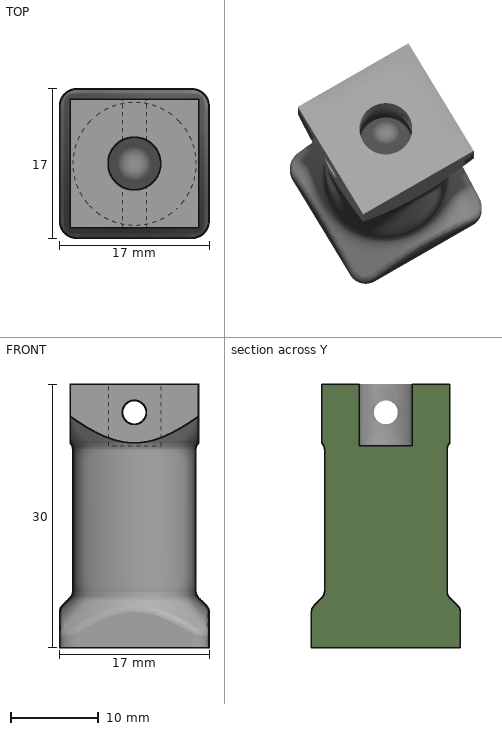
import cadquery as cq

total_height = 30.0
base_width = 17.0
head_width = 14.6
shaft_diameter = 14.0

base_cone_top = 6.0
head_cone_bottom = 23.0

base_corner_radius = 2.0
blend_radius = 1.0

bore_diameter = 6.0
bore_depth = 7.0
pin_diameter = 2.7
pin_below_top = 3.2

shaft_radius = shaft_diameter / 2

cone_run = base_cone_top
flare_radius = shaft_radius + cone_run

pick_margin = 0.3


def flared_spindle():
    """Round shaft with a 45 degree cone at each end, blended where the cones meet the shaft."""
    spindle = (
        cq.Workplane("XZ")
        .moveTo(0, 0)
        .lineTo(flare_radius, 0)
        .lineTo(shaft_radius, base_cone_top)
        .lineTo(shaft_radius, head_cone_bottom)
        .lineTo(flare_radius, head_cone_bottom + cone_run)
        .lineTo(flare_radius, total_height)
        .lineTo(0, total_height)
        .close()
        .revolve(360, (0, 0, 0), (0, 1, 0))
    )
    for height in (base_cone_top, head_cone_bottom):
        neck_edge = cq.selectors.BoxSelector(
            (-shaft_radius, -shaft_radius, height - pick_margin),
            (shaft_radius, shaft_radius, height + pick_margin),
        )
        spindle = spindle.edges(neck_edge).fillet(blend_radius)
    return spindle


def square_envelope():
    """Square limits of the base and the head, split halfway up the shaft."""
    split_height = (base_cone_top + head_cone_bottom) / 2
    base = (
        cq.Workplane("XY")
        .rect(base_width, base_width)
        .extrude(split_height)
        .edges("|Z")
        .fillet(base_corner_radius)
    )
    head = (
        cq.Workplane("XY")
        .workplane(offset=split_height)
        .rect(head_width, head_width)
        .extrude(total_height - split_height)
    )
    return base.union(head)


def round_base_rim(body):
    """Round the wavy edge where the base cone meets the base sides and corners."""
    half_base = base_width / 2
    rim_edges = cq.selectors.BoxSelector(
        (-half_base, -half_base, pick_margin),
        (half_base, half_base, base_cone_top - blend_radius),
    )
    return body.edges(rim_edges).edges("not |Z").fillet(blend_radius)


def cut_holes(body):
    """Blind bore down from the top and a pin hole through the head along Y."""
    bore = (
        cq.Workplane("XY")
        .workplane(offset=total_height - bore_depth)
        .circle(bore_diameter / 2)
        .extrude(bore_depth)
    )
    pin = (
        cq.Workplane("XZ")
        .center(0, total_height - pin_below_top)
        .circle(pin_diameter / 2)
        .extrude(head_width / 2, both=True)
    )
    return body.cut(bore).cut(pin)


trimmed = flared_spindle().intersect(square_envelope())
result = cut_holes(round_base_rim(trimmed))